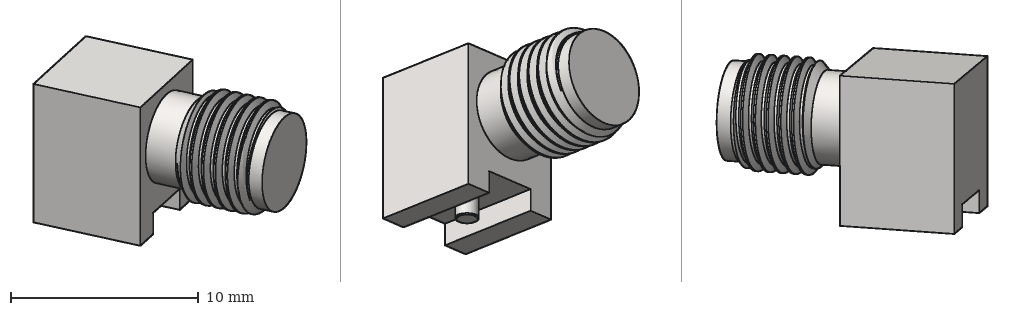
import cadquery as cq
import math


block_side = 6.35
block_height = 8.26
slot_width = block_side / 2
slot_depth = 1.27

pin_diameter = 1.27
pin_chamfer = 0.07

overall_length = 13.34
face_x = block_side / 2
tip_x = overall_length - block_side / 2
axis_z = block_height - block_side / 2
neck_radius = 5.08 / 2
neck_length = 1.77
thread_start_x = face_x + neck_length
collar_radius = 5.39 / 2
collar_length = 0.79
thread_end_x = tip_x - collar_length

thread_radius = 6.27 / 2
root_radius = 2.76
pitch = 0.71
crest_width = 0.11
root_width = 0.16
crest_x = 5.98
cutter_overlap = 0.04


def make_block():
    block = cq.Workplane("XY").box(block_side, block_side, block_height, centered=(True, True, False))
    slot = cq.Workplane("XY").box(block_side, slot_width, slot_depth, centered=(True, True, False))
    return block.cut(slot)


def make_pin():
    pin = cq.Workplane("XY").circle(pin_diameter / 2).extrude(slot_depth)
    return pin.faces("<Z").chamfer(pin_chamfer)


def make_barrel():
    """Revolved neck, 45-degree chamfered thread blank and plain end collar."""
    start_chamfer = thread_radius - neck_radius
    end_chamfer = thread_radius - collar_radius
    return (
        cq.Workplane("XZ")
        .moveTo(face_x, 0)
        .lineTo(face_x, neck_radius)
        .lineTo(thread_start_x, neck_radius)
        .lineTo(thread_start_x + start_chamfer, thread_radius)
        .lineTo(thread_end_x - end_chamfer, thread_radius)
        .lineTo(thread_end_x, collar_radius)
        .lineTo(tip_x, collar_radius)
        .lineTo(tip_x, 0)
        .close()
        .revolve(360, (0, 0, 0), (1, 0, 0))
        .translate((0, 0, axis_z))
    )


def make_thread_groove():
    """Right-handed groove that runs out past both ends of the thread."""
    flank_slope = (pitch - crest_width - root_width) / 2 / (thread_radius - root_radius)
    outer_radius = thread_radius + cutter_overlap
    root_half = root_width / 2
    outer_half = root_half + flank_slope * (outer_radius - root_radius)

    lead_in_turns = math.ceil((crest_x - thread_start_x) / pitch)
    groove_start_x = crest_x - lead_in_turns * pitch
    turns = math.ceil((thread_end_x - groove_start_x) / pitch)

    def helix(radius, offset):
        start = cq.Vector(0, 0, offset)
        return cq.Wire.makeHelix(pitch, turns * pitch, radius, start)

    edges = [
        helix(root_radius, -root_half),
        helix(outer_radius, -outer_half),
        helix(outer_radius, outer_half),
        helix(root_radius, root_half),
    ]
    sides = [cq.Face.makeRuledSurface(edges[i - 1], edges[i]) for i in range(len(edges))]
    start_corners = [edge.startPoint() for edge in edges]
    end_corners = [edge.endPoint() for edge in edges]
    caps = [
        cq.Face.makeFromWires(cq.Wire.makePolygon(corners, close=True))
        for corners in (start_corners, end_corners)
    ]
    groove = cq.Workplane(obj=cq.Solid.makeSolid(cq.Shell.makeShell(sides + caps)))
    return groove.rotate((0, 0, 0), (0, 1, 0), 90).translate((groove_start_x, 0, axis_z))


threaded_barrel = make_barrel().cut(make_thread_groove())
result = make_block().union(make_pin()).union(threaded_barrel)